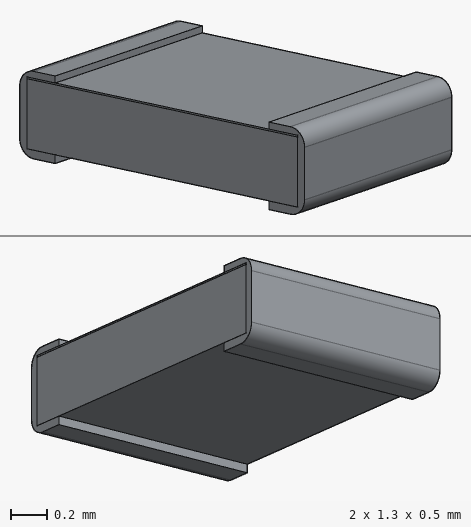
import cadquery as cq

length = 2.0
width = 1.3
height = 0.5

plating = 0.05
terminal_reach = 0.25
corner_radius = 0.1

film_thickness = 0.01

core_length = length - 2 * plating
substrate_height = height - 2 * plating
film_bottom = plating + substrate_height


def slab(size_z, bottom):
    """Core-sized plate, centred in X and Y, with its underside at the given Z."""
    plate = cq.Workplane("XY").box(core_length, width, size_z, centered=(True, True, False))
    return plate.translate((0, 0, bottom))


def make_substrate():
    return slab(substrate_height, plating)


def make_film():
    return slab(film_thickness, film_bottom)


def make_terminal(side):
    """C-shaped cap on the -X end (side = -1) or the +X end (side = +1)."""
    cap = (
        cq.Workplane("XY")
        .box(terminal_reach, width, height, centered=(True, True, False))
        .translate((side * (length - terminal_reach) / 2, 0, 0))
    )
    outer_face = ">X" if side > 0 else "<X"
    rounded = cap.faces(outer_face).edges("|Y").fillet(corner_radius)
    return rounded.cut(make_substrate()).cut(make_film()).solids()


substrate = make_substrate()
film = make_film()
terminals = [make_terminal(side) for side in (-1, 1)]

result = cq.Compound.makeCompound(
    [substrate.val(), film.val(), *[terminal.val() for terminal in terminals]]
)